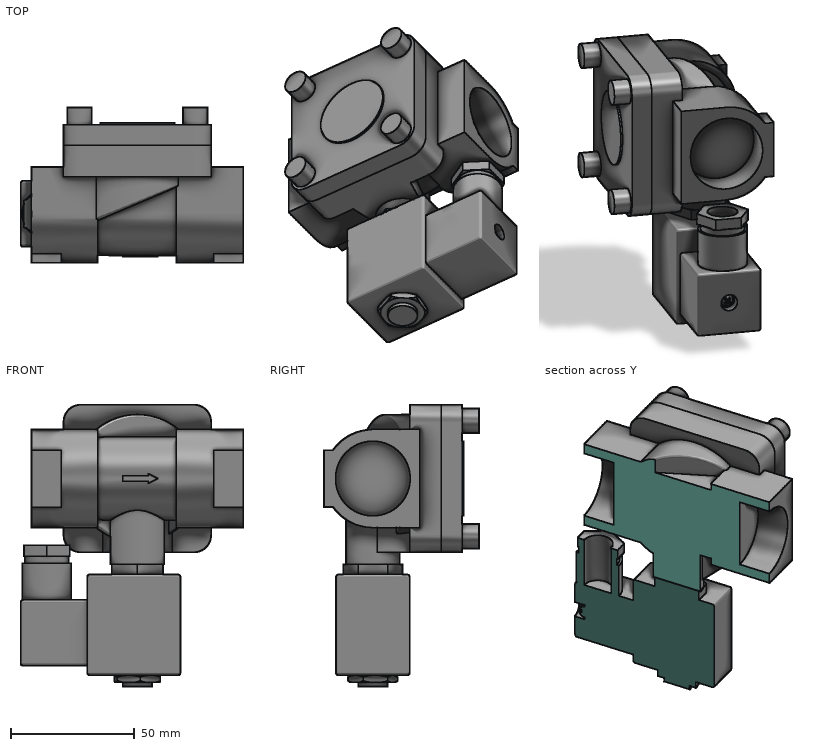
import cadquery as cq
import math


BODY_LENGTH = 86.1
PORT_RADIUS = 19.9
PORT_BACK_Y = 19.0
WAIST_RADIUS = 17.0
WAIST_LEFT_X = -16.1
WAIST_RIGHT_X = 15.8
BORE_DIAMETER = 30.3
BORE_DEPTH = 13.7
PAD_LENGTH = 12.1
PAD_HEIGHT = 23.1

ARROW_X = -5.8
ARROW_LENGTH = 14.2
ARROW_HEAD_LENGTH = 3.9
ARROW_SHAFT_WIDTH = 2.1
ARROW_HEAD_WIDTH = 3.9
ARROW_RELIEF = 0.6

FLANGE_SIDE = 60.0
FLANGE_CORNER_RADIUS = 7.1
FLANGE_FRONT_Y = 15.0
FLANGE_BACK_Y = 27.8
BOSS_RADIUS = 26.0
BOSS_END_Y = 4.1
BOSS_END_ANGLE = 23.0
BOSS_FILLET = 1.1
COVER_THICKNESS = 8.4
COVER_DISC_DIAMETER = 30.3
COVER_DISC_HEIGHT = 0.8
BOLT_HEAD_DIAMETER = 10.1
BOLT_HEAD_HEIGHT = 7.0
BOLT_SPACING = 47.0

NECK_DIAMETER = 22.0
NECK_BOTTOM_Z = -34.8
RIB_WIDTH_AT_FLANGE = 28.2
RIB_FRONT_WIDTH = 21.8
RIB_FRONT_Y = 1.8

COLLAR_FLATS = 20.8
COLLAR_HEIGHT = 4.1
COIL_LEFT_X = -20.4
COIL_RIGHT_X = 17.5
COIL_DEPTH = 30.0
COIL_HEIGHT = 41.0
CASE_FILLET = 1.1
NUT_CORNER_DIAMETER = 20.4
NUT_TURN = 37.0
NUT_HEIGHT = 2.9
NUT_FACE_DIAMETER = 18.0
NUT_CHAMFER_ANGLE = 30.0
TIP_DIAMETER = 12.0
TIP_HEIGHT = 1.7

PLUG_LEFT_X = -47.4
PLUG_SIDE = 26.9
PLUG_CENTER_Z = -62.6
GLAND_X = -36.8
GLAND_DIAMETER = 20.0
GLAND_TOP_Z = -34.4
GLAND_NECK_DIAMETER = 18.0
GLAND_NECK_HEIGHT = 2.9
GLAND_NUT_FLATS = 18.7
GLAND_NUT_HEIGHT = 4.5
CABLE_HOLE_DIAMETER = 12.3
SCREW_HOLE_DIAMETER = 6.8
SCREW_HOLE_DEPTH = 4.5
SCREW_HEAD_DIAMETER = 5.5
SCREW_HEAD_HEIGHT = 2.5
SCREW_SLOT_LENGTH = 3.0
SCREW_SLOT_WIDTH = 0.7

BODY_END_X = BODY_LENGTH / 2
COVER_BACK_Y = FLANGE_BACK_Y + COVER_THICKNESS
COIL_TOP_Z = NECK_BOTTOM_Z - COLLAR_HEIGHT
COIL_BOTTOM_Z = COIL_TOP_Z - COIL_HEIGHT
NUT_BOTTOM_Z = COIL_BOTTOM_Z - NUT_HEIGHT
PLUG_TOP_Z = PLUG_CENTER_Z + PLUG_SIDE / 2


def box(x_min, x_max, y_min, y_max, z_min, z_max):
    """Box given by its limits along each axis."""
    size = (x_max - x_min, y_max - y_min, z_max - z_min)
    return cq.Workplane("XY").box(*size, centered=False).translate((x_min, y_min, z_min))


def cylinder_x(diameter, x_start, x_end, z=0):
    return cq.Workplane("YZ", origin=(x_start, 0, z)).circle(diameter / 2).extrude(x_end - x_start)


def cylinder_y(diameter, y_start, y_end, x=0, z=0):
    """Cylinder along +Y from y_start to y_end."""
    return cq.Workplane("XZ", origin=(x, y_start, z)).circle(diameter / 2).extrude(y_start - y_end)


def cylinder_z(diameter, z_start, z_end, x=0):
    return cq.Workplane("XY", origin=(x, 0, z_start)).circle(diameter / 2).extrude(z_end - z_start)


def hexagon_z(corner_diameter, z_start, z_end, x=0, turn=30.0):
    """Hexagonal prism along Z; a turn of 30 degrees puts two corners on the Y direction."""
    plane = cq.Workplane("XY", origin=(x, 0, z_start)).transformed(rotate=(0, 0, turn))
    return plane.polygon(6, corner_diameter).extrude(z_end - z_start)


def corner_diameter(flats):
    return flats / math.cos(math.radians(30))


def pipe_section(radius, back_y, x_start, x_end):
    """Length of the pipe with a round front and a square back."""
    profile = (
        cq.Workplane("YZ", origin=(x_start, 0, 0))
        .moveTo(back_y, radius)
        .lineTo(0, radius)
        .threePointArc((-radius, 0), (0, -radius))
        .lineTo(back_y, -radius)
        .close()
    )
    return profile.extrude(x_end - x_start)


def square_plate(y_front, y_back):
    """Square plate with rounded corners, shared by the flange and the cover."""
    half = FLANGE_SIDE / 2
    plate = box(-half, half, y_front, y_back, -half, half)
    return plate.edges("|Y").fillet(FLANGE_CORNER_RADIUS)


def slanted_boss():
    """Round boss in front of the flange, cut by a slanted plane and rounded at that end."""
    reach = 2 * BOSS_RADIUS
    boss = cylinder_y(2 * BOSS_RADIUS, -reach, FLANGE_BACK_Y)
    cutter = box(-reach, reach, -2 * reach, 0, -reach, reach)
    cutter = cutter.rotate((0, 0, 0), (0, 0, 1), BOSS_END_ANGLE).translate((0, BOSS_END_Y, 0))
    return boss.cut(cutter).faces("<Y").edges().fillet(BOSS_FILLET)


def neck():
    """Round neck down to the solenoid, tied to the flange by a tapering rib."""
    rib = (
        cq.Workplane("XY", origin=(0, 0, -FLANGE_SIDE / 2))
        .moveTo(-RIB_FRONT_WIDTH / 2, RIB_FRONT_Y)
        .lineTo(RIB_FRONT_WIDTH / 2, RIB_FRONT_Y)
        .lineTo(RIB_WIDTH_AT_FLANGE / 2, FLANGE_FRONT_Y)
        .lineTo(-RIB_WIDTH_AT_FLANGE / 2, FLANGE_FRONT_Y)
        .close()
        .extrude(FLANGE_SIDE / 2)
    )
    return cylinder_z(NECK_DIAMETER, NECK_BOTTOM_Z, 0).union(rib)


def flow_arrow():
    """Raised arrow on the front of the waist, pointing to +X."""
    neck_x = ARROW_X + ARROW_LENGTH - ARROW_HEAD_LENGTH
    outline = (
        cq.Workplane("XZ")
        .moveTo(ARROW_X, -ARROW_SHAFT_WIDTH / 2)
        .lineTo(neck_x, -ARROW_SHAFT_WIDTH / 2)
        .lineTo(neck_x, -ARROW_HEAD_WIDTH / 2)
        .lineTo(ARROW_X + ARROW_LENGTH, 0)
        .lineTo(neck_x, ARROW_HEAD_WIDTH / 2)
        .lineTo(neck_x, ARROW_SHAFT_WIDTH / 2)
        .lineTo(ARROW_X, ARROW_SHAFT_WIDTH / 2)
        .close()
    )
    return outline.extrude(WAIST_RADIUS + ARROW_RELIEF)


def make_valve_body():
    waist = pipe_section(WAIST_RADIUS, FLANGE_FRONT_Y, WAIST_LEFT_X, WAIST_RIGHT_X)
    body = waist.union(slanted_boss()).union(neck()).union(flow_arrow())
    body = body.union(square_plate(FLANGE_FRONT_Y, FLANGE_BACK_Y))
    half_pad = PAD_HEIGHT / 2
    for end_x, inner_x in ((-BODY_END_X, WAIST_LEFT_X), (BODY_END_X, WAIST_RIGHT_X)):
        inward = math.copysign(1, -end_x)
        port_limits = sorted((end_x, inner_x))
        pad_limits = sorted((end_x, end_x + inward * PAD_LENGTH))
        body = body.union(pipe_section(PORT_RADIUS, PORT_BACK_Y, *port_limits))
        body = body.union(box(*pad_limits, -PORT_RADIUS, 0, -half_pad, half_pad))
        body = body.cut(cylinder_x(BORE_DIAMETER, end_x, end_x + inward * BORE_DEPTH))
    return body


def make_cover():
    """Cover plate with its raised disc and the heads of its four bolts."""
    cover = square_plate(FLANGE_BACK_Y, COVER_BACK_Y)
    cover = cover.union(cylinder_y(COVER_DISC_DIAMETER, COVER_BACK_Y, COVER_BACK_Y + COVER_DISC_HEIGHT))
    for x_side in (-1, 1):
        for z_side in (-1, 1):
            head = cylinder_y(
                BOLT_HEAD_DIAMETER,
                COVER_BACK_Y,
                COVER_BACK_Y + BOLT_HEAD_HEIGHT,
                x=x_side * BOLT_SPACING / 2,
                z=z_side * BOLT_SPACING / 2,
            )
            cover = cover.union(head)
    return cover


def lower_nut():
    """Hexagonal nut under the coil, chamfered on both faces, with the tube tip below it."""
    nut = hexagon_z(NUT_CORNER_DIAMETER, NUT_BOTTOM_Z, COIL_BOTTOM_Z, turn=NUT_TURN)
    face_radius = NUT_FACE_DIAMETER / 2
    corner_radius = NUT_CORNER_DIAMETER / 2
    corner_drop = (corner_radius - face_radius) * math.tan(math.radians(NUT_CHAMFER_ANGLE))
    chamfered = (
        cq.Workplane("XZ")
        .moveTo(0, NUT_BOTTOM_Z)
        .lineTo(face_radius, NUT_BOTTOM_Z)
        .lineTo(corner_radius, NUT_BOTTOM_Z + corner_drop)
        .lineTo(corner_radius, COIL_BOTTOM_Z - corner_drop)
        .lineTo(face_radius, COIL_BOTTOM_Z)
        .lineTo(0, COIL_BOTTOM_Z)
        .close()
        .revolve(360, (0, 0, 0), (0, 1, 0))
    )
    tip = cylinder_z(TIP_DIAMETER, NUT_BOTTOM_Z - TIP_HEIGHT, NUT_BOTTOM_Z)
    return nut.intersect(chamfered).union(tip)


def plug_screw():
    """Domed screw head with a cross slot, at the bottom of its hole in the plug."""
    floor_x = PLUG_LEFT_X + SCREW_HOLE_DEPTH
    top_x = floor_x - SCREW_HEAD_HEIGHT
    radius = SCREW_HEAD_DIAMETER / 2
    dome_radius = (radius**2 + SCREW_HEAD_HEIGHT**2) / (2 * SCREW_HEAD_HEIGHT)
    dome = cq.Workplane("XY").sphere(dome_radius).translate((top_x + dome_radius, 0, PLUG_CENTER_Z))
    head = cylinder_x(SCREW_HEAD_DIAMETER, top_x, floor_x, z=PLUG_CENTER_Z).intersect(dome)
    slot = cq.Workplane("XY").box(SCREW_HEAD_HEIGHT, SCREW_SLOT_LENGTH, SCREW_SLOT_WIDTH)
    for turn in (45, 135):
        head = head.cut(slot.rotate((0, 0, 0), (1, 0, 0), turn).translate((top_x, 0, PLUG_CENTER_Z)))
    return head


def cable_gland():
    """Stepped gland on top of the plug with its hexagonal nut."""
    neck_top = GLAND_TOP_Z + GLAND_NECK_HEIGHT
    gland = cylinder_z(GLAND_DIAMETER, PLUG_TOP_Z, GLAND_TOP_Z, GLAND_X)
    gland = gland.union(cylinder_z(GLAND_NECK_DIAMETER, GLAND_TOP_Z, neck_top, GLAND_X))
    nut_top = neck_top + GLAND_NUT_HEIGHT
    gland = gland.union(hexagon_z(corner_diameter(GLAND_NUT_FLATS), neck_top, nut_top, GLAND_X))
    return gland.cut(cylinder_z(CABLE_HOLE_DIAMETER, PLUG_TOP_Z, nut_top, GLAND_X))


def plug():
    half = PLUG_SIDE / 2
    case = box(PLUG_LEFT_X, COIL_LEFT_X, -half, half, PLUG_CENTER_Z - half, PLUG_TOP_Z)
    case = case.edges("|X or <X").fillet(CASE_FILLET)
    hole_floor_x = PLUG_LEFT_X + SCREW_HOLE_DEPTH
    case = case.cut(cylinder_x(SCREW_HOLE_DIAMETER, PLUG_LEFT_X, hole_floor_x, z=PLUG_CENTER_Z))
    return case.union(plug_screw()).union(cable_gland())


def make_solenoid():
    """Coil case with its collar, lower nut and cable plug."""
    half_depth = COIL_DEPTH / 2
    case = box(COIL_LEFT_X, COIL_RIGHT_X, -half_depth, half_depth, COIL_BOTTOM_Z, COIL_TOP_Z)
    case = case.edges().fillet(CASE_FILLET)
    collar = hexagon_z(corner_diameter(COLLAR_FLATS), COIL_TOP_Z, NECK_BOTTOM_Z)
    return case.union(collar).union(lower_nut()).union(plug())


valve_body = make_valve_body()
cover = make_cover()
solenoid = make_solenoid()

result = cq.Compound.makeCompound([valve_body.val(), cover.val(), solenoid.val()])